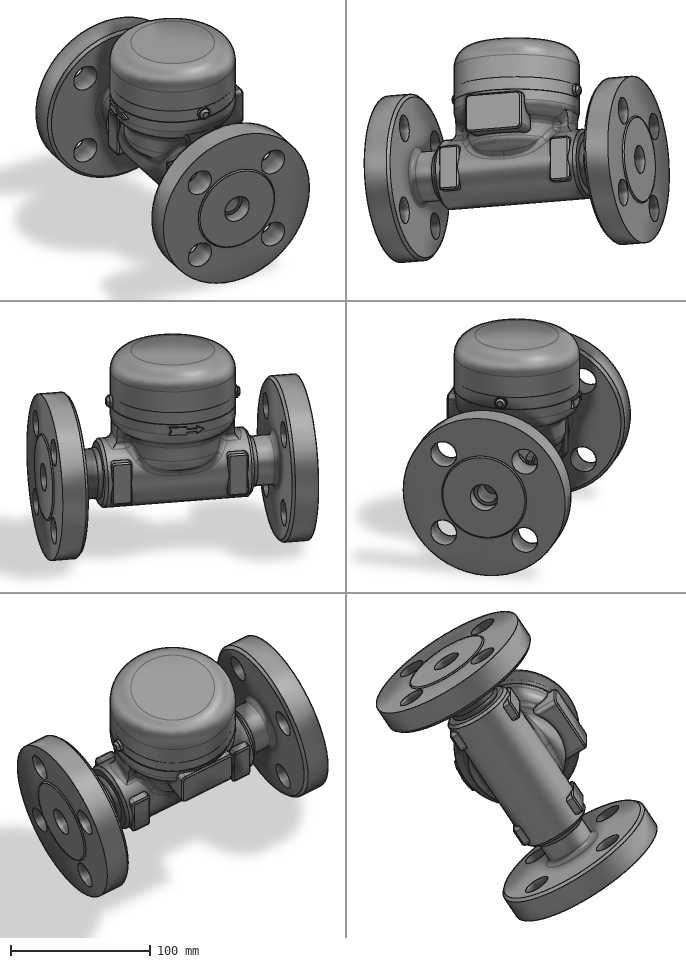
import cadquery as cq

overall_length = 190.0

flange_dia = 120.0
flange_inner_x = 74.9
flange_chamfer = 2.0
raised_face_dia = 60.8
raised_face_height = 1.0
raised_face_x = overall_length / 2
flange_outer_x = raised_face_x - raised_face_height
bolt_hole_dia = 19.0
bolt_offset = 30.0

neck_dia = 36.0
neck_fillet = 3.8
weld_bead_width = 3.8
weld_bead_height = 0.8
pipe_dia = 50.0
pipe_end_x = 55.0
pipe_chamfer = 2.0

port_dia = 20.0
port_depth = 10.5
inner_port_dia = 15.0
inner_port_depth = 28.5

cover_dia = 90.0
seam_z = 49.5
band_bottom_z = 42.2
shoulder_radius = 10.0
throat_radius = 5.0
bowl_dia = 70.3
bowl_bottom_arc_z = 17.9
bowl_bottom_z = bowl_bottom_arc_z - shoulder_radius
blend_radius = 5.0

spigot_dia = 88.5
spigot_height = 9.1

rib_dia = spigot_dia
rib_width = 19.0

flat_inner_x = 35.2
flat_outer_x = 50.2
flat_height = 32.0
flat_face_y = 25.5
flat_corner_radius = 2.3
flat_edge_chamfer = 1.1

pad_width = 43.1
pad_bottom_z = 20.0
pad_top_z = 47.5
pad_face_y = 46.4
pad_root_y = 22.8
pad_corner_radius = 3.6
pad_edge_chamfer = 1.1

cover_top_z = 89.9
cover_fillet = 15.0

screw_dia = 9.0
screw_z = 54.5
screw_rim_x = 47.0
screw_tip_x = 49.0
dome_base_dia = 7.6
dome_tip_dia = 4.5
dome_mid_dia = 6.6
dome_mid_x = 48.3

arrow_start_x = -12.4
arrow_end_x = 13.0
arrow_z = 45.0
arrow_height = 5.7
arrow_shaft_height = 2.0
arrow_notch = 1.5
arrow_tail_length = 12.5
arrow_head_length = 5.3
arrow_face_y = 46.5


def disc(dia, bottom_z, top_z):
    """Upright cylinder on the Z axis."""
    return cq.Workplane("XY").workplane(offset=bottom_z).circle(dia / 2).extrude(top_z - bottom_z)


def make_bowl():
    """Round bowl whose band under the cover narrows through an S-curve to the bowl wall."""
    band_r = cover_dia / 2
    bowl_r = bowl_dia / 2
    radii_sum = shoulder_radius + throat_radius
    offset_r = radii_sum - (band_r - bowl_r)
    drop = (radii_sum**2 - offset_r**2) ** 0.5
    cos_join = offset_r / radii_sum
    sin_join = drop / radii_sum
    shoulder_r = band_r - shoulder_radius
    join = (shoulder_r + shoulder_radius * cos_join, band_bottom_z - shoulder_radius * sin_join)
    bottom_r = bowl_r - shoulder_radius
    profile = (
        cq.Workplane("XZ")
        .moveTo(0, seam_z)
        .lineTo(band_r, seam_z)
        .lineTo(band_r, band_bottom_z)
        .tangentArcPoint(join, relative=False)
        .tangentArcPoint((bowl_r, band_bottom_z - drop), relative=False)
        .lineTo(bowl_r, bowl_bottom_arc_z)
        .tangentArcPoint((bottom_r, bowl_bottom_z), relative=False)
        .lineTo(0, bowl_bottom_z)
        .close()
    )
    return profile.revolve(360, (0, 0, 0), (0, 1, 0))


def make_core():
    """Pipe, bowl and ribs, blended where they meet."""
    pipe_r = pipe_dia / 2
    bowl_r = bowl_dia / 2
    pipe = cq.Workplane("YZ").circle(pipe_r).extrude(pipe_end_x, both=True)
    pipe = pipe.edges("%CIRCLE").chamfer(pipe_chamfer)
    rib_slab = cq.Workplane("XY").rect(rib_dia, rib_width).extrude(band_bottom_z)
    ribs = rib_slab.intersect(disc(rib_dia, 0, band_bottom_z))
    core = pipe.union(make_bowl()).union(ribs)

    above_pipe = cq.selectors.BoxSelector(
        (-cover_dia / 2, -pipe_r, bowl_bottom_z / 2), (cover_dia / 2, pipe_r, cover_dia / 2))
    pipe_seams = core.faces("<Z").edges(above_pipe)
    beside_bowl = cq.selectors.BoxSelector((-bowl_r, -bowl_r, 0), (bowl_r, bowl_r, band_bottom_z))
    rib_corners = core.edges("|Z").edges(beside_bowl)
    return core.newObject(pipe_seams.vals() + rib_corners.vals()).fillet(blend_radius)


def make_wrench_flats():
    """Rounded blocks on both sides of the pipe, tangent to its sides."""
    width = flat_outer_x - flat_inner_x
    block = (
        cq.Workplane("XY")
        .box(width, 2 * flat_face_y, flat_height)
        .edges("|Y").fillet(flat_corner_radius)
        .faces("<Y or >Y").chamfer(flat_edge_chamfer)
    )
    center_x = (flat_inner_x + flat_outer_x) / 2
    return block.translate((-center_x, 0, 0)).union(block.translate((center_x, 0, 0)))


def make_nameplate_pad():
    """Rounded block that stands out of the bowl behind the band."""
    height = pad_top_z - pad_bottom_z
    pad = (
        cq.Workplane("XY")
        .box(pad_width, pad_face_y - pad_root_y, height)
        .edges("|Y").fillet(pad_corner_radius)
        .faces(">Y").chamfer(pad_edge_chamfer)
    )
    return pad.translate((0, (pad_root_y + pad_face_y) / 2, pad_bottom_z + height / 2))


def make_flow_arrow():
    """Raised arrow pointing to +X, with a face that follows the round band."""
    tail_end_x = arrow_start_x + arrow_tail_length
    head_start_x = arrow_end_x - arrow_head_length
    half_height = arrow_height / 2
    half_shaft = arrow_shaft_height / 2
    lower_edge = [
        (arrow_start_x, -half_height),
        (tail_end_x, -half_height),
        (tail_end_x, -half_shaft),
        (head_start_x, -half_shaft),
        (head_start_x, -half_height),
    ]
    upper_edge = [(x, -z) for x, z in reversed(lower_edge)]
    outline = lower_edge + [(arrow_end_x, 0)] + upper_edge + [(arrow_start_x + arrow_notch, 0)]
    arrow = cq.Workplane("XZ").polyline(outline).close().extrude(arrow_face_y)
    raised = disc(2 * arrow_face_y, bowl_bottom_z, seam_z)
    return arrow.translate((0, 0, arrow_z)).intersect(raised)


def make_flange():
    """Flange, neck and weld bead on the +X end, revolved about X."""
    flange_r = flange_dia / 2
    neck_r = neck_dia / 2
    face_r = raised_face_dia / 2
    bead_start_x = pipe_end_x + weld_bead_width
    profile = (
        cq.Workplane("XY")
        .moveTo(pipe_end_x, 0)
        .lineTo(pipe_end_x, neck_r)
        .threePointArc(
            (pipe_end_x + weld_bead_width / 2, neck_r + weld_bead_height), (bead_start_x, neck_r))
        .lineTo(flange_inner_x - neck_fillet, neck_r)
        .tangentArcPoint((flange_inner_x, neck_r + neck_fillet), relative=False)
        .lineTo(flange_inner_x, flange_r - flange_chamfer)
        .lineTo(flange_inner_x + flange_chamfer, flange_r)
        .lineTo(flange_outer_x, flange_r)
        .lineTo(flange_outer_x, face_r + raised_face_height)
        .lineTo(raised_face_x, face_r)
        .lineTo(raised_face_x, 0)
        .close()
    )
    flange = profile.revolve(360, (0, 0, 0), (1, 0, 0))
    bolt_holes = (
        cq.Workplane("YZ")
        .rect(2 * bolt_offset, 2 * bolt_offset, forConstruction=True)
        .vertices()
        .circle(bolt_hole_dia / 2)
        .extrude(raised_face_x)
    )
    return flange.cut(bolt_holes)


def make_port():
    """Stepped blind bore entering from the +X end."""
    face = cq.Workplane("YZ").workplane(offset=raised_face_x)
    outer = face.circle(port_dia / 2).extrude(-port_depth)
    inner = face.circle(inner_port_dia / 2).extrude(-inner_port_depth)
    return outer.union(inner)


def at_both_ends(shape):
    """The shape and its mirror image at the -X end."""
    return shape.union(shape.mirror("YZ"))


def make_body():
    body = make_core()
    body = body.union(make_wrench_flats())
    body = body.union(make_nameplate_pad())
    body = body.union(make_flow_arrow())
    body = body.union(disc(spigot_dia, band_bottom_z, seam_z + spigot_height))
    body = body.union(at_both_ends(make_flange()))
    return body.cut(at_both_ends(make_port()))


def make_cover():
    """Round cap with a recess that fits over the spigot."""
    cover = disc(cover_dia, seam_z, cover_top_z).faces(">Z").edges().fillet(cover_fillet)
    return cover.cut(disc(spigot_dia, seam_z, seam_z + spigot_height))


def make_screw(side):
    """Domed screw head seated on the cover, on the +X (side 1) or -X (side -1) side."""
    dome_mid = (dome_mid_x, dome_mid_dia / 2)
    profile = (
        cq.Workplane("XY")
        .lineTo(0, screw_dia / 2)
        .lineTo(screw_rim_x, screw_dia / 2)
        .lineTo(screw_rim_x, dome_base_dia / 2)
        .threePointArc(dome_mid, (screw_tip_x, dome_tip_dia / 2))
        .lineTo(screw_tip_x, 0)
        .close()
    )
    screw = profile.revolve(360, (0, 0, 0), (1, 0, 0)).translate((0, 0, screw_z))
    screw = screw.cut(disc(cover_dia, seam_z, cover_top_z))
    if side < 0:
        screw = screw.mirror("YZ")
    return screw


body = make_body().solids()
cover = make_cover().solids()
screws = [make_screw(side).solids() for side in (1, -1)]

result = cq.Compound.makeCompound([body.val(), cover.val(), *[screw.val() for screw in screws]])